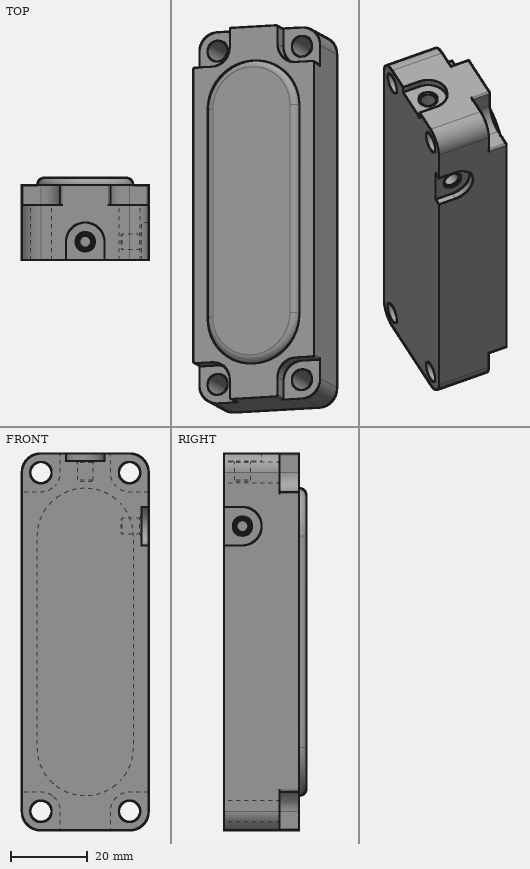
import cadquery as cq


HOUSING_WIDTH = 33.0
HOUSING_LENGTH = 98.0
TOTAL_DEPTH = 21.5
COVER_HEIGHT = 2.0
HOUSING_DEPTH = TOTAL_DEPTH - COVER_HEIGHT
CORNER_RADIUS = 5.0

MOUNT_HOLE_DIAMETER = 5.5
MOUNT_X = HOUSING_WIDTH / 2 - CORNER_RADIUS
MOUNT_Z = HOUSING_LENGTH / 2 - CORNER_RADIUS

POCKET_RADIUS = 5.0
POCKET_SIZE = CORNER_RADIUS + POCKET_RADIUS
POCKET_DEPTH = 5.1
POCKET_EDGE_RADIUS = 0.5

RECESS_RADIUS = 5.0
RECESS_DEPTH = 2.0
PORT_Y = 4.8
SIDE_PORT_FROM_TOP = 18.9
SIDE_PORT_Z = HOUSING_LENGTH / 2 - SIDE_PORT_FROM_TOP
PORT_MOUTH_DIAMETER = 5.0
PORT_BORE_DIAMETER = 4.1
PORT_TIP_DIAMETER = 3.1
PORT_BORE_DEPTH = 5.0
PORT_CONE_DEPTH = 0.3

COVER_WIDTH = 25.0
COVER_LENGTH = 80.0


def plate(outline, depth):
    """Extrude an outline drawn in (X, Z) toward +Y."""
    return outline.extrude(-depth)


def xz_plane(y):
    """Workplane at depth y, drawn in (X, Z)."""
    return cq.Workplane("XZ", origin=(0, y, 0))


def corner_pockets():
    """Four pocket cutters, rounded around the mounting holes and flaring out at the outer sides."""
    side = HOUSING_WIDTH / 2
    end = HOUSING_LENGTH / 2
    flare = POCKET_EDGE_RADIUS
    wall_x = side - POCKET_SIZE
    wall_z = end - POCKET_SIZE
    outline = (
        xz_plane(HOUSING_DEPTH - POCKET_DEPTH)
        .moveTo(wall_x - flare, end)
        .radiusArc((wall_x, end - flare), flare)
        .lineTo(wall_x, MOUNT_Z)
        .radiusArc((MOUNT_X, wall_z), -POCKET_RADIUS)
        .lineTo(side - flare, wall_z)
        .radiusArc((side, wall_z - flare), flare)
        .lineTo(side, end)
        .close()
    )
    right_top = plate(outline, POCKET_DEPTH)
    top_pair = right_top.add(right_top.mirror("YZ")).combine()
    return top_pair.add(top_pair.mirror("XY")).combine()


def port_recess(face):
    """Recess cutter: straight sides from the front edge, ending in a half circle around the port."""
    return (
        cq.Workplane(face)
        .moveTo(-RECESS_RADIUS, 0)
        .lineTo(-RECESS_RADIUS, PORT_Y)
        .threePointArc((0, PORT_Y + RECESS_RADIUS), (RECESS_RADIUS, PORT_Y))
        .lineTo(RECESS_RADIUS, 0)
        .close()
        .extrude(-RECESS_DEPTH)
    )


def port_hole(face):
    """Blind hole cutter in the recess floor: chamfered mouth, bore and conical end with a flat tip."""
    mouth_radius = PORT_MOUTH_DIAMETER / 2
    bore_radius = PORT_BORE_DIAMETER / 2
    chamfer = mouth_radius - bore_radius
    floor = cq.Workplane(face).workplane(offset=-RECESS_DEPTH).center(0, PORT_Y)
    mouth = floor.circle(mouth_radius).workplane(offset=-chamfer).circle(bore_radius).loft()
    bore = floor.circle(bore_radius).extrude(-PORT_BORE_DEPTH)
    bore_end = floor.workplane(offset=-PORT_BORE_DEPTH)
    tip_radius = PORT_TIP_DIAMETER / 2
    tip = bore_end.circle(bore_radius).workplane(offset=-PORT_CONE_DEPTH).circle(tip_radius).loft()
    return bore.union(mouth).union(tip)


def make_housing():
    """Block with rounded corners, mounting holes, back corner pockets and two ports."""
    block = plate(xz_plane(0).rect(HOUSING_WIDTH, HOUSING_LENGTH), HOUSING_DEPTH)
    block = block.edges("|Y").fillet(CORNER_RADIUS)

    mount_centres = xz_plane(0).rect(2 * MOUNT_X, 2 * MOUNT_Z, forConstruction=True).vertices()
    block = block.cut(plate(mount_centres.circle(MOUNT_HOLE_DIAMETER / 2), HOUSING_DEPTH))
    block = block.cut(corner_pockets())

    top_face = cq.Plane(origin=(0, 0, HOUSING_LENGTH / 2), xDir=(1, 0, 0), normal=(0, 0, 1))
    side_face = cq.Plane(origin=(HOUSING_WIDTH / 2, 0, SIDE_PORT_Z), xDir=(0, 0, -1), normal=(1, 0, 0))
    for face in (top_face, side_face):
        block = block.cut(port_recess(face)).cut(port_hole(face))
    return block


def make_cover():
    """Raised cover with half-round ends, its rim a quarter round from the housing back to its flat."""
    outline = xz_plane(HOUSING_DEPTH - COVER_HEIGHT).slot2D(COVER_LENGTH, COVER_WIDTH, 90)
    slab = plate(outline, 2 * COVER_HEIGHT).faces(">Y").edges().fillet(COVER_HEIGHT)
    sunken_half = plate(xz_plane(0).rect(HOUSING_WIDTH, HOUSING_LENGTH), HOUSING_DEPTH)
    return slab.cut(sunken_half)


housing = make_housing()
cover = make_cover()

result = cq.Compound.makeCompound([housing.solids().val(), cover.solids().val()])